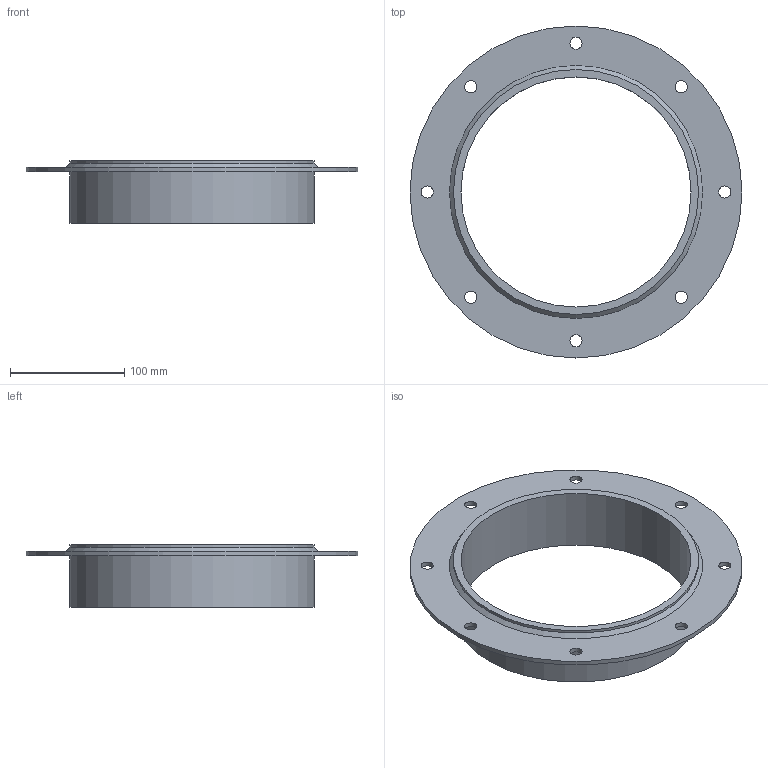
import cadquery as cq

height = 55.0
bore_diameter = 201.0
sleeve_diameter = 214.0
flange_diameter = 290.0
flange_thickness = 4.0
flange_bottom = 45.0
weld_leg = 3.5
bolt_count = 8
bolt_hole_diameter = 10.5
bolt_circle_diameter = 260.0

bore_radius = bore_diameter / 2
sleeve_radius = sleeve_diameter / 2
flange_radius = flange_diameter / 2
flange_top = flange_bottom + flange_thickness


def ring_body():
    """Sleeve, flange and the 45 degree weld bead above the flange, revolved about Z."""
    profile = (
        cq.Workplane("XZ")
        .moveTo(bore_radius, 0)
        .lineTo(sleeve_radius, 0)
        .lineTo(sleeve_radius, flange_bottom)
        .lineTo(flange_radius, flange_bottom)
        .lineTo(flange_radius, flange_top)
        .lineTo(sleeve_radius + weld_leg, flange_top)
        .lineTo(sleeve_radius, flange_top + weld_leg)
        .lineTo(sleeve_radius, height)
        .lineTo(bore_radius, height)
        .close()
    )
    return profile.revolve(360, (0, 0, 0), (0, 1, 0))


def bolt_holes():
    """Evenly spaced through-hole cutters on the bolt circle, the first one on +X."""
    return (
        cq.Workplane("XY")
        .workplane(offset=flange_bottom)
        .polarArray(bolt_circle_diameter / 2, 0, 360, bolt_count)
        .circle(bolt_hole_diameter / 2)
        .extrude(flange_thickness)
    )


result = ring_body().cut(bolt_holes())